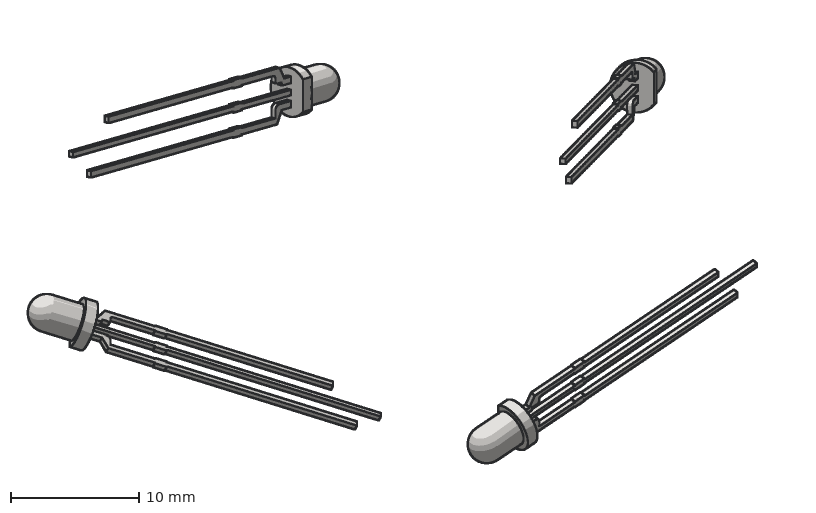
import cadquery as cq


overall_length = 29.5
overall_width = 3.5
lens_length = 5.02
flange_thickness = 1.0
flange_radius = 2.0
lens_radius = overall_width - flange_radius
flat_offset = lens_radius

lead_width = 0.45
middle_lead_height = 0.45
outer_lead_height = 0.53
lead_pitch = 2.0
middle_lead_length = overall_length - lens_length
tip_step = 2.0
lower_lead_length = middle_lead_length - tip_step
upper_lead_length = lower_lead_length - tip_step

overall_height = 4.7
stop_start = 5.5
stop_length = 1.0
outer_stop_height = overall_height - 2 * lead_pitch
middle_stop_height = 0.62

crank_end = 1.77
lead_inner = lead_pitch - outer_lead_height / 2
lead_outer = lead_pitch + outer_lead_height / 2

upper_root_inner = 0.77
upper_root_outer = upper_root_inner + outer_lead_height
upper_crank_start = 0.75
upper_crank_top = 1.3
upper_step_start = 1.0
upper_step_end = 1.1
upper_step_height = 1.03
upper_fillet = 0.25

lower_root_inner = 0.68
lower_root_outer = lower_root_inner + outer_lead_height
lower_crank_start = 1.03
lower_crank_bottom = 1.55
lower_fillet = 0.45


def make_lens():
    """Domed barrel, revolved about the Y axis."""
    dome_start = lens_length - lens_radius
    arc_middle = lens_radius * 0.5 ** 0.5
    return (
        cq.Workplane("YZ")
        .lineTo(0, lens_radius)
        .lineTo(dome_start, lens_radius)
        .threePointArc((dome_start + arc_middle, arc_middle), (lens_length, 0))
        .close()
        .revolve(360, (0, 0, 0), (1, 0, 0))
    )


def make_flange():
    """Round flange with one flat on its +X side."""
    disc = (
        cq.Workplane("YZ")
        .lineTo(0, flange_radius)
        .lineTo(flange_thickness, flange_radius)
        .lineTo(flange_thickness, 0)
        .close()
        .revolve(360, (0, 0, 0), (1, 0, 0))
    )
    keep = cq.Workplane("XY").box(overall_width, flange_thickness, 2 * flange_radius)
    keep = keep.translate((flat_offset - overall_width / 2, flange_thickness / 2, 0))
    return disc.intersect(keep)


def bar(start, length, height, center_z):
    """Straight bar of lead width, starting at a distance behind the flange base."""
    block = cq.Workplane("XY").box(lead_width, length, height)
    return block.translate((0, -start - length / 2, center_z))


def plate(points):
    """Lead-width plate from (distance behind the base, height) points."""
    outline = [(-distance, z) for distance, z in points]
    return cq.Workplane("YZ").polyline(outline).close().extrude(lead_width / 2, both=True)


def round_corner(lead, distance, z, radius):
    """Fillet the edge across the lead at one corner of its outline."""
    corner = cq.NearestToPointSelector((0, -distance, z))
    return lead.edges(corner).fillet(radius)


def make_middle_lead():
    lead = bar(0, middle_lead_length, middle_lead_height, 0)
    return lead.union(bar(stop_start, stop_length, middle_stop_height, 0))


def make_upper_lead():
    lead = plate([
        (0, upper_root_inner),
        (0, upper_root_outer),
        (upper_crank_start, upper_root_outer),
        (upper_crank_top, lead_outer),
        (upper_lead_length, lead_outer),
        (upper_lead_length, lead_inner),
        (crank_end, lead_inner),
        (crank_end, upper_step_height),
        (upper_step_end, upper_step_height),
        (upper_step_start, upper_root_inner),
    ])
    lead = round_corner(lead, crank_end, lead_inner, upper_fillet)
    lead = round_corner(lead, crank_end, upper_step_height, upper_fillet)
    return lead.union(bar(stop_start, stop_length, outer_stop_height, lead_pitch))


def make_lower_lead():
    lead = plate([
        (0, -lower_root_inner),
        (0, -lower_root_outer),
        (lower_crank_start, -lower_root_outer),
        (lower_crank_bottom, -lead_outer),
        (lower_lead_length, -lead_outer),
        (lower_lead_length, -lead_inner),
        (crank_end, -lead_inner),
        (crank_end, -lower_root_inner),
    ])
    lead = round_corner(lead, crank_end, -lower_root_inner, lower_fillet)
    return lead.union(bar(stop_start, stop_length, outer_stop_height, -lead_pitch))


result = make_lens().union(make_flange())
for lead in (make_middle_lead(), make_upper_lead(), make_lower_lead()):
    result = result.union(lead)